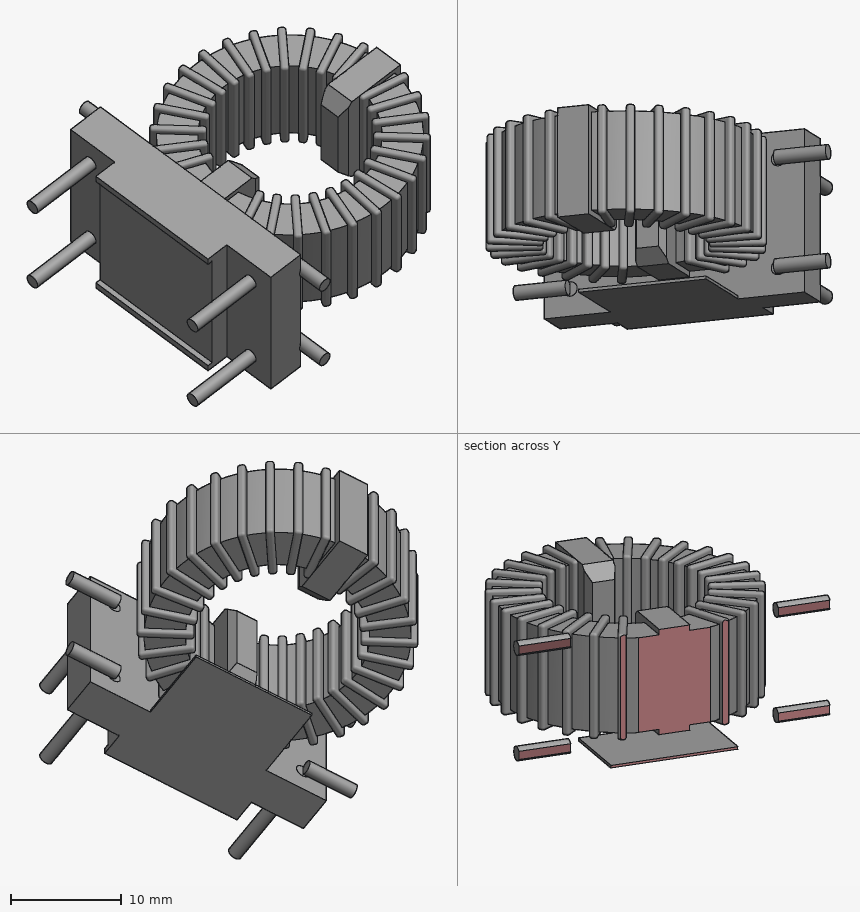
import cadquery as cq


base_length = 25.4
base_thickness = 3.85
base_height = 15.25
foot_length = 14.22
foot_depth = 2.42
foot_recess_depth = 0.55
foot_lip_height = 0.7
shelf_length = 12.45
shelf_depth = 7.6
shelf_thickness = 0.3

core_outer_radius = 12.05
core_inner_radius = 8.32
core_height = 9.17
core_center_y = 11.52

turn_outer_radius = 12.7
turn_inner_radius = 7.55
turn_width = 0.8
turn_height = 10.2
turn_rounding = 0.3
turn_pitch_angle = 12.0
turns_up_per_side = 7
turns_down_per_side = 6

spacer_width = 3.02
spacer_height = turn_height
spacer_outer_radius = turn_outer_radius
spacer_inner_radius = 5.1
spacer_slope = 1.35
spacer_side_taper_length = 0.92
spacer_side_taper_width = 0.43

pin_diameter = 1.35
pin_spacing_x = 20.3
pin_spacing_z = 10.17
pin_arm_length = 5.1
pin_arm_y = 0.55
pin_exposed_length = 7.5

pin_radius = pin_diameter / 2
foot_end_y = -base_thickness - foot_depth
pin_tip_y = -base_thickness - pin_exposed_length


def make_base():
    """Base plate with a recessed foot below and a thin shelf under the core."""
    plate = cq.Workplane("XY").box(base_length, base_thickness, base_height)
    plate = plate.translate((0, -base_thickness / 2, 0))
    foot = cq.Workplane("XY").box(foot_length, foot_depth, base_height)
    foot = foot.translate((0, -base_thickness - foot_depth / 2, 0))
    recess_height = base_height - 2 * foot_lip_height
    recess = cq.Workplane("XY").box(foot_length, foot_recess_depth, recess_height)
    recess = recess.translate((0, foot_end_y + foot_recess_depth / 2, 0))
    shelf = cq.Workplane("XY").box(shelf_length, shelf_depth, shelf_thickness)
    shelf = shelf.translate((0, shelf_depth / 2, (shelf_thickness - base_height) / 2))
    return plate.union(foot).cut(recess).union(shelf)


def make_core():
    """Plain ring, centered on the origin."""
    ring = cq.Workplane("XY").circle(core_outer_radius).circle(core_inner_radius)
    return ring.extrude(core_height / 2, both=True)


def make_turn(angle):
    """One turn of wire, rounded on all edges, at an angle from +X."""
    radial_length = turn_outer_radius - turn_inner_radius
    turn = cq.Workplane("XY").box(radial_length, turn_width, turn_height)
    turn = turn.edges().fillet(turn_rounding)
    turn = turn.translate((turn_inner_radius + radial_length / 2, 0, 0))
    return turn.rotate((0, 0, 0), (0, 0, 1), angle)


def turn_angles():
    """Angles of every turn, the same on the +X and -X sides."""
    right_side = [
        (index + 0.5) * turn_pitch_angle
        for index in range(-turns_down_per_side, turns_up_per_side)
    ]
    left_side = [180 - angle for angle in right_side]
    return right_side + left_side


def make_spacer():
    """Bar across the ring at +Y, its inner end tapered on all four sides."""
    half_width = spacer_width / 2
    half_height = spacer_height / 2
    tip_half_width = half_width - spacer_side_taper_width
    tip_half_height = half_height - spacer_slope
    taper_y = spacer_inner_radius + spacer_side_taper_length
    slope_y = spacer_inner_radius + spacer_slope
    plan = (
        cq.Workplane("XY")
        .moveTo(-half_width, spacer_outer_radius)
        .lineTo(half_width, spacer_outer_radius)
        .lineTo(half_width, taper_y)
        .lineTo(tip_half_width, spacer_inner_radius)
        .lineTo(-tip_half_width, spacer_inner_radius)
        .lineTo(-half_width, taper_y)
        .close()
        .extrude(half_height, both=True)
    )
    profile = (
        cq.Workplane("YZ")
        .moveTo(spacer_outer_radius, half_height)
        .lineTo(slope_y, half_height)
        .lineTo(spacer_inner_radius, tip_half_height)
        .lineTo(spacer_inner_radius, -tip_half_height)
        .lineTo(slope_y, -half_height)
        .lineTo(spacer_outer_radius, -half_height)
        .close()
        .extrude(half_width, both=True)
    )
    return plan.intersect(profile)


def make_wound_ring():
    """Core with its turns and the two opposite spacers, moved to its place on the base."""
    ring = make_core()
    for angle in turn_angles():
        ring = ring.union(make_turn(angle))
    for angle in (0, 180):
        ring = ring.union(make_spacer().rotate((0, 0, 0), (0, 0, 1), angle))
    return ring.translate((0, core_center_y, 0))


def make_pin(side, z):
    """L-shaped pin: a leg through the base and an arm pointing outward on the side of X."""
    leg_x = side * pin_spacing_x / 2
    leg = cq.Workplane("XZ").center(leg_x, z).circle(pin_radius).extrude(-pin_tip_y)
    arm = cq.Workplane("YZ", origin=(leg_x, 0, 0)).center(pin_arm_y, z)
    arm = arm.circle(pin_radius).extrude(side * pin_arm_length)
    return leg.union(arm)


pins = [
    make_pin(side, row * pin_spacing_z / 2)
    for side in (-1, 1)
    for row in (-1, 1)
]

housing = make_base().union(make_wound_ring())
for pin in pins:
    housing = housing.cut(pin)

result = cq.Compound.makeCompound([housing.solids().val(), *[pin.solids().val() for pin in pins]])